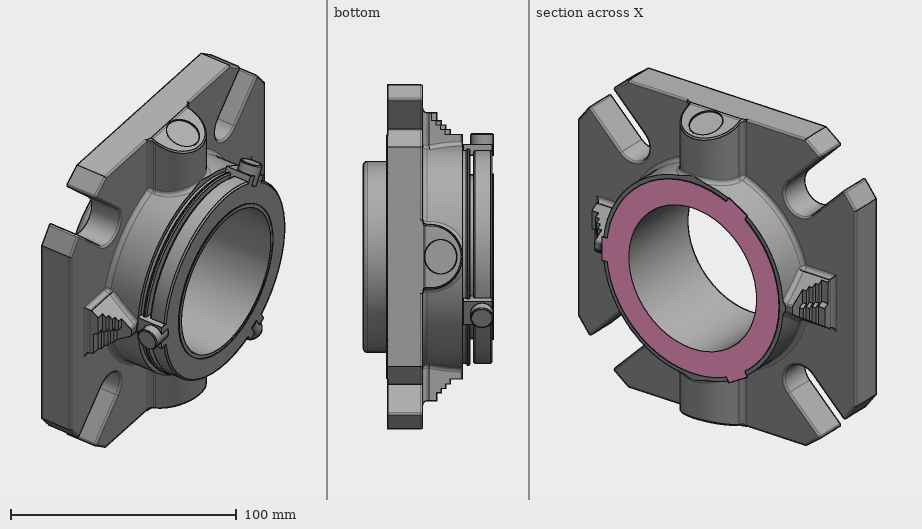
import cadquery as cq
import math

flange_size = 152.4
half_size = flange_size / 2
flange_thick = 15.5
flange_edge_radius = 0.9
corner_start = 48.6
tip_far = 69.8
tip_radius = 0.9
slot_width = 18.0
tip_near = tip_far - slot_width / math.sqrt(2)
slot_centre = 46.0
pilot_diameter = 108.0
pilot_height = 0.6

bore_diameter = 69.8
sleeve_diameter = 84.7
sleeve_start = -10.8
sleeve_edge_radius = 1.8
ring_diameter = 73.0
ring_lip_diameter = 73.5
ring_end = 46.8

hub_radius = 49.4
hub_end = 33.2
neck_diameter = 94.8
neck_end = 34.7
seal_diameter = 96.3
seal_end = 36.5
seal_edge = 0.6

collar_diameter = 94.8
collar_start = 38.0
collar_end = 46.3
collar_edge = 0.8
clip_count = 3
clip_start = 33.5
clip_width = 11.9
clip_outer_radius = 49.8
clip_inner_radius = 45.0
screw_diameter = 10.0
screw_x = 41.8
screw_top_radius = 54.5
screw_edge = 0.5

lug_radius = 14.3
lug_centre = 18.7
lug_shoulder = 75.0
lug_end_height = 69.8
lug_end = 33.0
lug_slope = math.atan2(lug_shoulder - lug_end_height, lug_end - lug_centre)
lug_edge = 0.6
spot_diameter = 15.2
spot_centre = 23.6
spot_depth = 0.8

wing_half_width = 12.0
wing_taper_start = 18.3
wing_tip = 33.0
wing_tip_half_width = 1.8
wing_tip_radius = 1.2
wing_height = 63.9
step_levels = [60.4, 58.4, 56.4, 54.3]
first_riser = 21.8
step_pitch = 2.0
riser_shift = 2.5
riser_slant = 0.8

blend_radius = 2.0
blank_diameter = 198.1
tolerance = 0.08
tip_reach = 1.5

root_radius = 42.7
root_x = 7.6
lug_root_height = lug_shoulder + (lug_centre - root_x) * math.tan(lug_slope)


def disc(diameter, start, end):
    return cq.Workplane("YZ").workplane(offset=start).circle(diameter / 2).extrude(end - start)


def make_flange():
    """Square plate with a cut corner and an open diagonal bolt slot in each quarter."""
    plate = cq.Workplane("YZ").rect(flange_size, flange_size).extrude(flange_thick)
    corner = (
        cq.Workplane("YZ")
        .polyline([
            (corner_start, half_size),
            (tip_near, tip_far),
            (tip_far, tip_near),
            (half_size, corner_start),
            (half_size, half_size),
        ])
        .close()
        .extrude(flange_thick)
    )
    slot_length = half_size
    slot = (
        cq.Workplane("YZ")
        .slot2D(slot_length, slot_width)
        .extrude(flange_thick)
        .translate((0, (slot_length - slot_width) / 2, 0))
        .rotate((0, 0, 0), (1, 0, 0), 45)
        .translate((0, slot_centre, slot_centre))
    )
    notch = corner.union(slot)
    for quarter in range(4):
        plate = plate.cut(notch.rotate((0, 0, 0), (1, 0, 0), 90 * quarter))
    for y_side in (-1, 1):
        for z_side in (-1, 1):
            for y, z in ((tip_near, tip_far), (tip_far, tip_near)):
                plate = plate.edges(edges_near(flange_thick / 2, y * y_side, z * z_side)).fillet(tip_radius)
    return plate.faces(">X").edges().fillet(flange_edge_radius)


def edges_near(x, y, z):
    low = (x - tip_reach, y - tip_reach, z - tip_reach)
    high = (x + tip_reach, y + tip_reach, z + tip_reach)
    return cq.selectors.BoxSelector(low, high)


def make_lug():
    """Upper lug: round-nosed, with a sloping top that carries a shallow spot face."""
    plan = (
        cq.Workplane("XY")
        .moveTo(root_x, -lug_radius)
        .lineTo(lug_centre, -lug_radius)
        .threePointArc((lug_centre + lug_radius, 0), (lug_centre, lug_radius))
        .lineTo(root_x, lug_radius)
        .close()
        .extrude(lug_root_height)
    )
    side = (
        cq.Workplane("XZ")
        .polyline([
            (root_x, root_radius),
            (root_x, lug_root_height),
            (lug_end, lug_end_height),
            (lug_end, root_radius),
        ])
        .close()
        .extrude(half_size, both=True)
    )
    spot_height = lug_shoulder - (spot_centre - lug_centre) * math.tan(lug_slope)
    face = cq.Plane(
        origin=(spot_centre, 0, spot_height),
        xDir=(math.cos(lug_slope), 0, -math.sin(lug_slope)),
        normal=(math.sin(lug_slope), 0, math.cos(lug_slope)),
    )
    spot = cq.Workplane(face).circle(spot_diameter / 2).extrude(-spot_depth)
    lug = plan.intersect(side)
    lug = lug.faces(">Z").edges("not <X").chamfer(lug_edge)
    return lug.cut(spot)


def make_wing():
    """Wing on the -Y side; its stepped face carries a two-part chevron of risers."""
    wing = (
        cq.Workplane("XZ")
        .workplane(offset=root_radius)
        .polyline([
            (root_x, -wing_half_width),
            (wing_taper_start, -wing_half_width),
            (wing_tip, -wing_tip_half_width),
            (wing_tip, wing_tip_half_width),
            (wing_taper_start, wing_half_width),
            (root_x, wing_half_width),
        ])
        .close()
        .extrude(wing_height - root_radius)
        .edges("|Y and >X")
        .fillet(wing_tip_radius)
    )
    for number, level in enumerate(step_levels):
        upper = first_riser + number * step_pitch
        lower = upper - riser_shift
        removed = (
            cq.Workplane("XZ")
            .workplane(offset=level)
            .polyline([
                (lower, -wing_half_width),
                (lower, -riser_slant),
                (upper, riser_slant),
                (upper, wing_half_width),
                (ring_end, wing_half_width),
                (ring_end, -wing_half_width),
            ])
            .close()
            .extrude(wing_height - level)
        )
        wing = wing.cut(removed)
    return wing


def make_housing():
    """Hub with lugs and wings in front of the flange, blended where they meet."""
    housing = disc(blank_diameter, root_x, flange_thick).union(disc(2 * hub_radius, root_x, ring_end))
    lug = make_lug()
    wing = make_wing()
    for turn in (0, 180):
        housing = housing.union(lug.rotate((0, 0, 0), (1, 0, 0), turn))
        housing = housing.union(wing.rotate((0, 0, 0), (1, 0, 0), turn))
    housing = housing.edges().filter(is_root).fillet(blend_radius)
    front = cq.Workplane("XY").box(hub_end - flange_thick, flange_size, flange_size)
    housing = housing.intersect(front.translate(((hub_end + flange_thick) / 2, 0, 0)))
    footing = cq.Workplane("XY").box(flange_edge_radius, 2 * (lug_radius + blend_radius), flange_size)
    return housing.union(footing.translate((flange_thick - flange_edge_radius / 2, 0, 0)))


def is_root(edge):
    """True for edges along the hub's surface or at the foot of the hub, lugs and wings."""
    points = [edge.positionAt(part) for part in (0, 0.25, 0.5, 0.75, 1)]
    radii = [math.hypot(point.y, point.z) for point in points]
    on_face = max(abs(point.x - flange_thick) for point in points) < tolerance
    if on_face:
        return max(radii) < blank_diameter / 2 - tolerance
    on_hub = max(abs(radius - hub_radius) for radius in radii) < tolerance
    behind_end = max(point.x for point in points) < hub_end
    ahead_of_face = min(point.x for point in points) > flange_thick - tolerance
    return on_hub and behind_end and ahead_of_face


def make_collar():
    """Collar with a clip and a screw repeated around it."""
    collar = disc(collar_diameter, collar_start, collar_end).edges().chamfer(collar_edge)
    for number in range(clip_count):
        clip = (
            cq.Workplane("XY")
            .box(collar_end - clip_start, clip_outer_radius - clip_inner_radius, clip_width)
            .translate((
                (clip_start + collar_end) / 2,
                -(clip_inner_radius + clip_outer_radius) / 2,
                0,
            ))
        )
        screw = (
            cq.Workplane("XZ")
            .center(screw_x, 0)
            .workplane(offset=clip_inner_radius)
            .circle(screw_diameter / 2)
            .extrude(screw_top_radius - clip_inner_radius)
            .faces("<Y")
            .edges()
            .chamfer(screw_edge)
        )
        turn = number * 360 / clip_count
        collar = collar.union(clip.union(screw).rotate((0, 0, 0), (1, 0, 0), turn))
    return collar


def make_sleeve():
    sleeve = disc(sleeve_diameter, sleeve_start, flange_thick)
    return sleeve.faces("<X").edges().fillet(sleeve_edge_radius)


bodies = [
    make_housing(),
    disc(pilot_diameter, -pilot_height, flange_thick),
    disc(neck_diameter, root_x, neck_end),
    disc(seal_diameter, neck_end, seal_end).edges().chamfer(seal_edge),
    disc(ring_diameter, root_x, collar_end),
    disc(ring_lip_diameter, collar_start, ring_end),
    make_collar(),
    make_sleeve(),
]
result = make_flange()
for body in bodies:
    result = result.union(body)
result = result.cut(disc(bore_diameter, sleeve_start, ring_end))